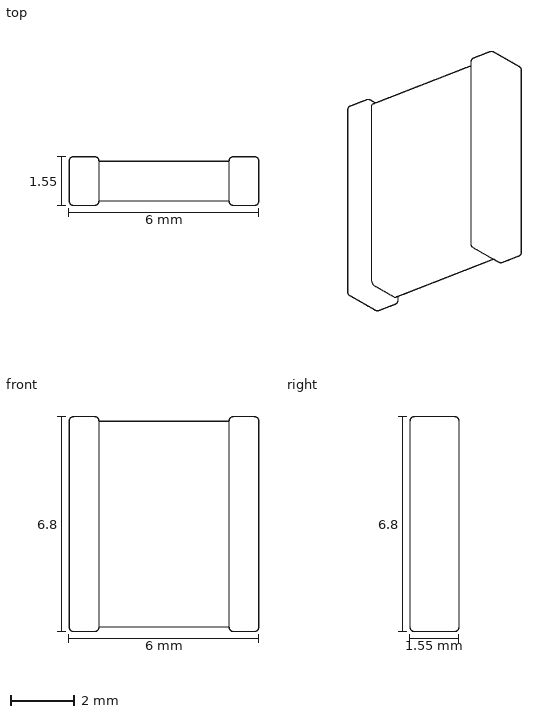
import cadquery as cq

overall_length = 6.0
terminal_depth = 1.55
terminal_height = 6.8

terminal_length = 0.945
edge_radius = 0.14

core_inset = edge_radius
core_length = overall_length - 2 * terminal_length
core_depth = terminal_depth - 2 * core_inset
core_height = terminal_height - 2 * core_inset


def make_core():
    """Bar between the terminals, rounded along its four long edges."""
    bar = cq.Workplane("XY").box(core_length, core_depth, core_height)
    return bar.edges("|X").fillet(edge_radius)


def make_terminal(center_x):
    """End block with every edge rounded."""
    block = cq.Workplane("XY").box(terminal_length, terminal_depth, terminal_height)
    return block.edges().fillet(edge_radius).translate((center_x, 0, 0))


core = make_core()

terminal_offset = (overall_length - terminal_length) / 2
terminals = [make_terminal(side * terminal_offset) for side in (-1, 1)]

result = cq.Compound.makeCompound([core.val(), *[terminal.val() for terminal in terminals]])